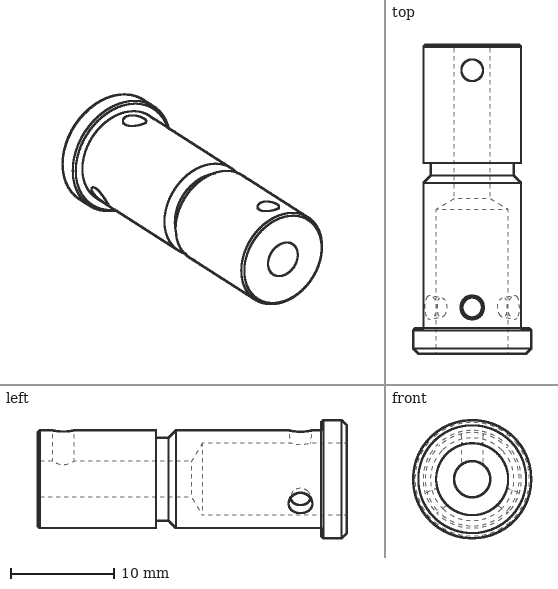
import cadquery as cq
import math

length = 30.0
head_radius = 11.5 / 2
head_length = 2.5
head_front_chamfer = 0.5
edge_chamfer = 0.2
shank_radius = 9.5 / 2

groove_radius = 8.07 / 2
groove_end = 18.5
groove_flat = 1.2
groove_start = groove_end - groove_flat
groove_bevel = shank_radius - groove_radius

bore_radius = 7.0 / 2
small_bore_radius = bore_radius / 2
bore_depth = 14.0
cone_angle = 118.0

tapered_hole_count = 3
tapered_hole_y = 4.5
tapered_hole_outer_radius = 2.3 / 2
tapered_hole_inner_radius = 1.92 / 2
tail_hole_y = length - head_length
tail_hole_radius = 2.1 / 2


def make_body():
    """Revolve the outer profile about the Y axis."""
    profile = (
        cq.Workplane("XY")
        .moveTo(0, 0)
        .lineTo(head_radius - head_front_chamfer, 0)
        .lineTo(head_radius, head_front_chamfer)
        .lineTo(head_radius, head_length - edge_chamfer)
        .lineTo(head_radius - edge_chamfer, head_length)
        .lineTo(shank_radius, head_length)
        .lineTo(shank_radius, groove_start - groove_bevel)
        .lineTo(groove_radius, groove_start)
        .lineTo(groove_radius, groove_end)
        .lineTo(shank_radius, groove_end)
        .lineTo(shank_radius, length - edge_chamfer)
        .lineTo(shank_radius - edge_chamfer, length)
        .lineTo(0, length)
        .close()
    )
    return profile.revolve(360, (0, 0), (0, 1))


def make_bore():
    """Revolve the stepped bore with its conical shoulder."""
    cone_length = (bore_radius - small_bore_radius) / math.tan(math.radians(cone_angle / 2))
    profile = (
        cq.Workplane("XY")
        .moveTo(0, 0)
        .lineTo(bore_radius, 0)
        .lineTo(bore_radius, bore_depth)
        .lineTo(small_bore_radius, bore_depth + cone_length)
        .lineTo(small_bore_radius, length)
        .lineTo(0, length)
        .close()
    )
    return profile.revolve(360, (0, 0), (0, 1))


def make_tapered_hole(angle):
    """Cone narrowing from the shank surface to the wide bore, turned about Y from +Z."""
    taper = (tapered_hole_outer_radius - tapered_hole_inner_radius) / (shank_radius - bore_radius)
    outer_end_radius = tapered_hole_outer_radius + taper * (head_radius - shank_radius)
    axis_radius = tapered_hole_outer_radius - taper * shank_radius
    cone = cq.Solid.makeCone(
        axis_radius, outer_end_radius, head_radius, cq.Vector(0, tapered_hole_y, 0), cq.Vector(0, 0, 1)
    )
    return cq.Workplane(cone).rotate((0, 0, 0), (0, 1, 0), angle)


def make_tail_hole():
    """Straight hole from the top of the shank into the small bore."""
    cylinder = cq.Solid.makeCylinder(
        tail_hole_radius, head_radius, cq.Vector(0, tail_hole_y, 0), cq.Vector(0, 0, 1)
    )
    return cq.Workplane(cylinder)


result = make_body().cut(make_bore()).cut(make_tail_hole())
for index in range(tapered_hole_count):
    result = result.cut(make_tapered_hole(index * 360 / tapered_hole_count))